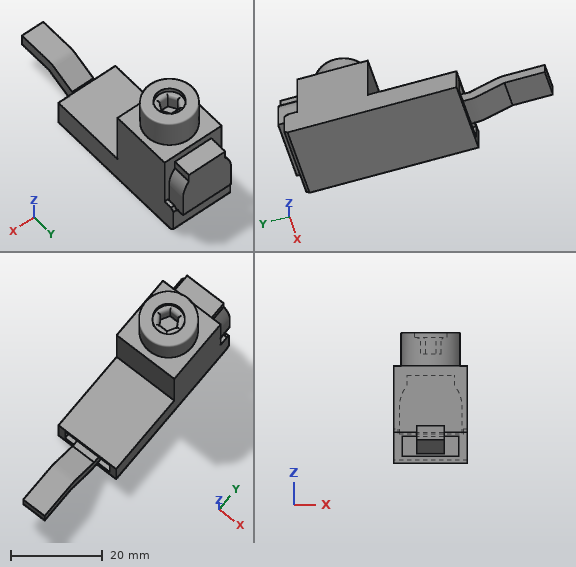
import cadquery as cq
import math

length = 59.7
body_width = 16.1
total_height = 28.55

block_back = length - 4.8
block_front = block_back - body_width
block_height = 21.25
arm_front = 18.6
arm_height = 6.8
heel_back = length - 1.8
heel_height = 7.6
heel_chamfer = 0.8

collar_radius = 6.8
collar_axis_height = 12.55
collar_bottom = 6.45
collar_top = 19.2
collar_top_half_width = 5.15
ear_thickness = 0.95

slot_width = 12.4
slot_bottom = 1.6
slot_top = 6.0
blade_width = 6.05
blade_thickness = 3.05
blade_bottom = 2.15
lower_bend = 17.2
upper_bend = 9.2
bend_radius = 4.7

screw_diameter = 12.9
screw_edge_radius = 0.35
recess_diameter = 7.05
recess_depth = 1.1
hex_across_flats = 3.95
hex_edge_radius = 0.7
hex_depth = 3.6


def extrude_side_profile(profile, width):
    """Extrude a closed YZ profile symmetrically about X = 0."""
    return profile.extrude(width / 2, both=True)


def centred_box(width, front, back, bottom, top):
    """Box centred on X between the given Y and Z limits."""
    box = cq.Workplane("XY").box(width, back - front, top - bottom, centered=(True, False, False))
    return box.translate((0, front, bottom))


def make_housing():
    profile = (
        cq.Workplane("YZ")
        .moveTo(arm_front, 0)
        .lineTo(heel_back - heel_chamfer, 0)
        .lineTo(heel_back, heel_chamfer)
        .lineTo(heel_back, heel_height - heel_chamfer)
        .lineTo(heel_back - heel_chamfer, heel_height)
        .lineTo(block_back, heel_height)
        .lineTo(block_back, block_height)
        .lineTo(block_front, block_height)
        .lineTo(block_front, arm_height)
        .lineTo(arm_front, arm_height)
        .close()
    )
    housing = extrude_side_profile(profile, body_width)
    gap_width = body_width - 2 * ear_thickness
    ear_gap = centred_box(gap_width, block_back, heel_back, collar_bottom, heel_height)
    slot = centred_box(slot_width, arm_front, block_front, slot_bottom, slot_top)
    return housing.cut(ear_gap).cut(slot)


def make_collar():
    shoulder_rise = math.sqrt(collar_radius**2 - collar_top_half_width**2)
    shoulder_height = collar_axis_height + shoulder_rise
    mid_angle = math.atan2(shoulder_rise, collar_top_half_width) / 2
    mid_x = collar_radius * math.cos(mid_angle)
    mid_z = collar_axis_height + collar_radius * math.sin(mid_angle)
    return (
        cq.Workplane("XZ", origin=(0, length, 0))
        .moveTo(-collar_radius, collar_bottom)
        .lineTo(collar_radius, collar_bottom)
        .lineTo(collar_radius, collar_axis_height)
        .threePointArc((mid_x, mid_z), (collar_top_half_width, shoulder_height))
        .lineTo(collar_top_half_width, collar_top)
        .lineTo(-collar_top_half_width, collar_top)
        .lineTo(-collar_top_half_width, shoulder_height)
        .threePointArc((-mid_x, mid_z), (-collar_radius, collar_axis_height))
        .close()
        .extrude(length - block_back)
    )


def make_blade():
    bend_height = blade_bottom + blade_thickness
    tip_top = bend_height + blade_thickness
    run = lower_bend - upper_bend
    centre_drop = bend_radius - blade_thickness
    centre_distance = math.hypot(run, centre_drop)
    slope = math.asin(bend_radius / centre_distance) - math.atan2(centre_drop, run)

    def offset(angle):
        return bend_radius * math.sin(angle), bend_radius * math.cos(angle) - centre_drop

    end_y, end_z = offset(slope)
    mid_y, mid_z = offset(slope / 2)
    root = block_front
    profile = (
        cq.Workplane("YZ")
        .moveTo(0, bend_height)
        .lineTo(upper_bend, bend_height)
        .lineTo(lower_bend - end_y, bend_height - end_z)
        .threePointArc((lower_bend - mid_y, bend_height - mid_z), (lower_bend, blade_bottom))
        .lineTo(root, blade_bottom)
        .lineTo(root, bend_height)
        .lineTo(lower_bend, bend_height)
        .lineTo(upper_bend + end_y, bend_height + end_z)
        .threePointArc((upper_bend + mid_y, bend_height + mid_z), (upper_bend, tip_top))
        .lineTo(0, tip_top)
        .close()
    )
    return extrude_side_profile(profile, blade_width)


def make_screw():
    screw_y = (block_front + block_back) / 2
    screw_height = total_height - block_height
    recess_floor = screw_height - recess_depth
    hex_across_corners = hex_across_flats / math.cos(math.pi / 6)
    screw = cq.Workplane("XY").circle(screw_diameter / 2).extrude(recess_floor)
    socket = (
        cq.Workplane("XY", origin=(0, 0, recess_floor - hex_depth))
        .polygon(6, hex_across_corners)
        .extrude(hex_depth)
    )
    screw = screw.cut(socket).faces(">Z").edges("%LINE").fillet(hex_edge_radius)
    rim = (
        cq.Workplane("XY", origin=(0, 0, recess_floor))
        .circle(screw_diameter / 2)
        .circle(recess_diameter / 2)
        .extrude(recess_depth)
    )
    rim = rim.faces(">Z").edges(cq.selectors.RadiusNthSelector(-1)).fillet(screw_edge_radius)
    return screw.union(rim).translate((0, screw_y, block_height))


result = make_housing().union(make_collar()).union(make_blade()).union(make_screw())